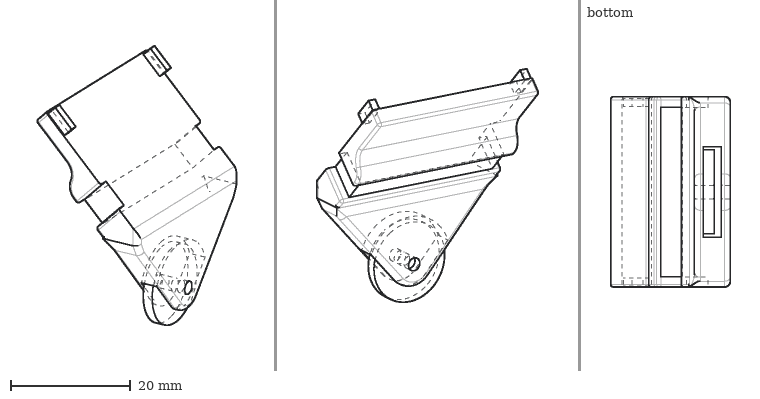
import cadquery as cq
import math


width = 31.75
half_width = width / 2
elbow_z = 15.3
arm_tilt = math.radians(45)
bend_radius = 3.0
edge_radius = 0.5

arm_length = 25.58
tip_depth = 3.0
arm_depth = 6.5
grip_start = 17.0
elbow_end = 3.32
neck_start = 5.4
neck_end = 10.42
neck_depth = 5.98
neck_inset = 1.75

tab_end = 25.25
tab_length = 4.6
tab_height = 2.0
tab_width = 1.33
tab_inset = 0.25

leg_thickness = 6.0
leg_tip_radius = 4.03
leg_edge_radius = 1.0
shoulder_top_z = 13.05
shoulder_y = 14.85
shoulder_z = 10.95

fork_wall = 1.5
pocket_radius = 7.97
wheel_diameter = 14.0
wheel_thickness = 1.8
axle_hole_diameter = 2.25

inner_corner_z = elbow_z - arm_depth / math.cos(arm_tilt) + leg_thickness * math.tan(arm_tilt)
leg_bottom_z = -leg_tip_radius
tolerance = 0.02


def arm_point(along, depth):
    """X, Z of a point at a distance up the arm and a depth below its top."""
    x = -along * math.cos(arm_tilt) - depth * math.sin(arm_tilt)
    z = elbow_z + along * math.sin(arm_tilt) - depth * math.cos(arm_tilt)
    return (x, z)


def arm_along(point):
    """Distance of a point up the arm from the elbow."""
    return (point.z - elbow_z) * math.sin(arm_tilt) - point.x * math.cos(arm_tilt)


def arm_depth_of(point):
    """Depth of a point below the flat top of the arm."""
    return (elbow_z - point.z) * math.cos(arm_tilt) - point.x * math.sin(arm_tilt)


def arm_block(start, end, top_depth, bottom_depth, y_size):
    """Plain block lying along the arm, centred on Y = 0."""
    corners = [(start, top_depth), (end, top_depth), (end, bottom_depth), (start, bottom_depth)]
    points = [arm_point(*corner) for corner in corners]
    return cq.Workplane("XZ").polyline(points).close().extrude(y_size / 2, both=True)


def round_edges(body, chosen, radius):
    """Fillet the edges whose middle point passes the test."""
    edges = [edge for edge in body.edges().vals() if chosen(edge.positionAt(0.5))]
    return body.newObject(edges).fillet(radius)


def make_grip():
    """Outer part of the arm, its underside swelling in an S of two equal arcs."""
    swell = arm_depth - tip_depth
    turn = math.acos(1 - swell / (2 * bend_radius))
    reach = bend_radius * math.sin(turn)
    half_reach = bend_radius * math.sin(turn / 2)
    half_drop = bend_radius * (1 - math.cos(turn / 2))
    grip_end = grip_start - 2 * reach
    grip = (
        cq.Workplane("XZ")
        .moveTo(*arm_point(neck_end, 0))
        .lineTo(*arm_point(arm_length, 0))
        .lineTo(*arm_point(arm_length, tip_depth))
        .lineTo(*arm_point(grip_start, tip_depth))
        .threePointArc(
            arm_point(grip_start - half_reach, tip_depth + half_drop),
            arm_point(grip_start - reach, tip_depth + swell / 2),
        )
        .threePointArc(
            arm_point(grip_end + half_reach, arm_depth - half_drop),
            arm_point(grip_end, arm_depth),
        )
        .lineTo(*arm_point(neck_end, arm_depth))
        .close()
        .extrude(half_width, both=True)
    )

    def outer_edge(middle):
        on_side = abs(middle.y) > half_width - tolerance
        on_end = not neck_end + tolerance < arm_along(middle) < arm_length - tolerance
        return (on_side or on_end) and arm_depth_of(middle) > tolerance

    return round_edges(grip, outer_edge, edge_radius)


def make_arm_root():
    """Inner part of the arm, between the elbow and the neck."""
    root = arm_block(elbow_end, neck_start, 0, arm_depth, width)

    def outer_edge(middle):
        on_side = abs(middle.y) > half_width - tolerance
        on_end = arm_along(middle) > neck_start - tolerance
        clear_of_elbow = arm_along(middle) > elbow_end + tolerance
        return (on_side or on_end) and clear_of_elbow and arm_depth_of(middle) > tolerance

    return round_edges(root, outer_edge, edge_radius)


def make_elbow_bar():
    """Full-width bar bent from the arm down into the leg."""
    bar = (
        cq.Workplane("XZ")
        .polyline([
            arm_point(elbow_end, 0),
            (0, elbow_z),
            (0, leg_bottom_z),
            (-leg_thickness, leg_bottom_z),
            (-leg_thickness, inner_corner_z),
            arm_point(elbow_end, arm_depth),
        ])
        .close()
        .extrude(half_width, both=True)
    )
    for corner in [(0, 0, elbow_z), (-leg_thickness, 0, inner_corner_z)]:
        bar = bar.edges(cq.selectors.NearestToPointSelector(corner)).fillet(bend_radius)
    return bar


def make_leg_outline():
    """Prism along X with the tapered shape of the leg, rounded at the rear."""
    shoulder_distance = math.hypot(shoulder_y, shoulder_z)
    taper_angle = math.atan2(shoulder_z, shoulder_y) - math.acos(leg_tip_radius / shoulder_distance)
    tangent_y = leg_tip_radius * math.cos(taper_angle)
    tangent_z = leg_tip_radius * math.sin(taper_angle)
    top_z = elbow_z + neck_start
    reach = 2 * leg_thickness
    return (
        cq.Workplane("YZ")
        .moveTo(-half_width, top_z)
        .lineTo(-half_width, shoulder_top_z)
        .lineTo(-shoulder_y, shoulder_z)
        .lineTo(-tangent_y, tangent_z)
        .threePointArc((0, leg_bottom_z), (tangent_y, tangent_z))
        .lineTo(shoulder_y, shoulder_z)
        .lineTo(half_width, shoulder_top_z)
        .lineTo(half_width, top_z)
        .close()
        .extrude(-reach)
        .faces(">X")
        .edges("not >Z")
        .fillet(leg_edge_radius)
    )


def make_leg():
    """Tapered leg with the elbow above it."""
    leg = make_elbow_bar().intersect(make_leg_outline())

    def front_edge(middle):
        on_face = abs(middle.x + leg_thickness) < tolerance
        return on_face and middle.z < shoulder_z - bend_radius

    return round_edges(leg, front_edge, leg_edge_radius)


def make_tabs():
    """Two small blocks standing on the arm top, one near each side."""
    tabs = arm_block(tab_end - tab_length, tab_end, -tab_height, 0, width - 2 * tab_inset)
    gap = arm_block(tab_end - tab_length, tab_end, -tab_height, 0, width - 2 * (tab_inset + tab_width))
    return tabs.cut(gap)


def disc(x_start, thickness, radius):
    """Disc on the wheel axis, growing toward +X."""
    return cq.Workplane("YZ", origin=(x_start, 0, 0)).circle(radius).extrude(thickness)


def make_bracket():
    """Arm, leg and tabs in one piece, with the wheel pocket and axle hole."""
    neck = arm_block(neck_start, neck_end, 0, neck_depth, width - 2 * neck_inset)
    pocket = disc(-leg_thickness + fork_wall, leg_thickness - 2 * fork_wall, pocket_radius)
    axle_hole = disc(-leg_thickness, leg_thickness, axle_hole_diameter / 2)
    return (
        make_leg()
        .union(make_arm_root())
        .union(neck)
        .union(make_grip())
        .union(make_tabs())
        .cut(pocket)
        .cut(axle_hole)
    )


def make_wheel():
    """Drilled wheel resting against the front wall of the fork."""
    front_x = -leg_thickness + fork_wall
    tyre = disc(front_x, wheel_thickness, wheel_diameter / 2)
    return tyre.cut(disc(front_x, wheel_thickness, axle_hole_diameter / 2))


bracket = make_bracket()
wheel = make_wheel()

result = cq.Compound.makeCompound([bracket.solids().val(), wheel.solids().val()])